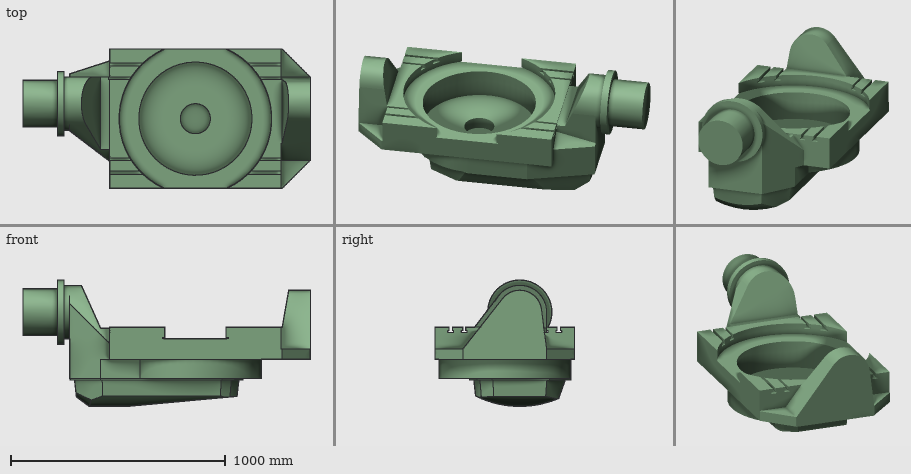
import cadquery as cq
import math


TOTAL_LENGTH = 1341.2
TOTAL_HEIGHT = 589.6
LONG = 2000

TABLE_LENGTH = 800
TABLE_WIDTH = 650
TABLE_TOP = 150
TABLE_END = TABLE_LENGTH / 2
TABLE_SIDE = TABLE_WIDTH / 2
RECESS_DIAMETER = 709
RECESS_FLOOR = 97
UNDERCUT_DIAMETER = 713
UNDERCUT_HEIGHT = 4

SLOT_DEPTH = 25
SLOT_FOOT_HEIGHT = 9
SLOT_OVERRUN = 4
OUTER_SLOT_OFFSET = 252
OUTER_SLOT_NECK = 15
OUTER_SLOT_FOOT = 26
INNER_SLOT_OFFSET = 189
INNER_SLOT_NECK = 12.6
INNER_SLOT_FOOT = 25

AXIS_Y = 70
AXIS_Z = 220
SHAFT_RADIUS = 110
FLANGE_RADIUS = 150
HUB_RADIUS = 125
SHAFT_END = -804
FLANGE_START = -643
FLANGE_END = -612

BRACKET_END = -586
BRACKET_SIDE = -199
BRACKET_SHOULDER = 73
BRACKET_LEDGE = 145
SLOPE_TOP_X = -531
SLOPE_FOOT_X = -441
WEDGE_EDGE_Z = 58
WEDGE_RISE = 0.742

BASE_DEPTH = 90
PLATE_BOTTOM = -97
BOSS_RADIUS = 307.5
BASE_SIDE = -167
BASE_NEAR_CORNER_Y = -57
BASE_FAR_CORNER_Y = 209
FAR_WALL_SLOPE = 0.323
NEAR_WALL_SLOPE = (BASE_SIDE - BASE_NEAR_CORNER_Y) / (SLOPE_FOOT_X - BRACKET_END)
FAR_WALL_END = BRACKET_END + (BOSS_RADIUS - BASE_FAR_CORNER_Y) / FAR_WALL_SLOPE
PLATE_SETBACK = 2.5
PLATE_END = 223
PLATE_CORNER = [(125, BASE_SIDE + PLATE_SETBACK), (182, -130), (PLATE_END, -60)]
FAR_CORNER_X = 0

SUMP_INSET = 20
SUMP_DRAFT = 6.5
SUMP_FAR_TOP_Y = 282
SUMP_FAR_DRAFT = 19.5
BELLY_RADIUS = 457
BELLY_Z = AXIS_Z + FLANGE_RADIUS - TOTAL_HEIGHT
BELLY_NOSE_X = -553
BELLY_NOSE_Z = -176
BELLY_FLAT_START = -495
BELLY_FLAT_END = -315
BELLY_TAIL_X = 132
BELLY_TAIL_Z = -178.5

BORE_DIAMETER = 527.8
BORE_FLOOR = -35
CENTRE_HOLE_DIAMETER = 140
CENTRE_HOLE_FLOOR = -BASE_DEPTH

ARM_END = SHAFT_END + TOTAL_LENGTH
ARM_RADIUS = 102
ARM_HALF_WIDTH = 195
ARM_SHOULDER = 48
ARM_TOP_X = 434.5
ARM_FOOT_X = TABLE_END + SLOT_OVERRUN


def cylinder_x(radius, x_start, x_end):
    """Cylinder on the trunnion axis."""
    section = cq.Workplane("YZ", origin=(x_start, AXIS_Y, AXIS_Z)).circle(radius)
    return section.extrude(x_end - x_start)


def cylinder_z(radius, z_bottom, z_top):
    """Cylinder on the table axis."""
    return cq.Workplane("XY").workplane(offset=z_bottom).circle(radius).extrude(z_top - z_bottom)


def prism_z(points, z_bottom, z_top):
    """Prism along Z from (x, y) points."""
    outline = cq.Workplane("XY").workplane(offset=z_bottom).polyline(points).close()
    return outline.extrude(z_top - z_bottom)


def prism_x(points, x_start, x_end):
    """Prism along X from (y, z) points."""
    outline = cq.Workplane("YZ").workplane(offset=x_start).polyline(points).close()
    return outline.extrude(x_end - x_start)


def prism_y(points):
    """Prism along Y from (x, z) points, passing through the whole part."""
    return cq.Workplane("XZ").polyline(points).close().extrude(LONG / 2, both=True)


def tangent_point(radius, y, z, side):
    """Point where a line from (y, z) touches a circle on the trunnion axis; side is +1 or -1."""
    dy = y - AXIS_Y
    dz = z - AXIS_Z
    angle = math.atan2(dz, dy) + side * math.acos(radius / math.hypot(dy, dz))
    return (AXIS_Y + radius * math.cos(angle), AXIS_Z + radius * math.sin(angle))


def t_slot(centre_y, neck, foot):
    """T-slot cutter along X, open at the table top."""
    floor = TABLE_TOP - SLOT_DEPTH
    foot_top = floor + SLOT_FOOT_HEIGHT
    half = [(neck / 2, TABLE_TOP), (neck / 2, foot_top), (foot / 2, foot_top), (foot / 2, floor)]
    right = [(centre_y + y, z) for y, z in half]
    left = [(centre_y - y, z) for y, z in reversed(half)]
    half_length = TABLE_END + SLOT_OVERRUN
    return prism_x(right + left, -half_length, half_length)


def table():
    """Table slab with the round recess and its undercut foot."""
    slab = cq.Workplane("XY").box(TABLE_LENGTH, TABLE_WIDTH, TABLE_TOP, centered=(True, True, False))
    recess = cylinder_z(RECESS_DIAMETER / 2, RECESS_FLOOR, TABLE_TOP)
    undercut = cylinder_z(UNDERCUT_DIAMETER / 2, RECESS_FLOOR, RECESS_FLOOR + UNDERCUT_HEIGHT)
    return slab.cut(recess).cut(undercut)


def far_wall_y(x):
    return BASE_FAR_CORNER_Y + FAR_WALL_SLOPE * (x - BRACKET_END)


def near_wall_y(x):
    return BASE_NEAR_CORNER_Y + NEAR_WALL_SLOPE * (x - BRACKET_END)


BASE_OUTLINE = [
    (BRACKET_END, BASE_NEAR_CORNER_Y),
    (SLOPE_FOOT_X, BASE_SIDE),
    (0, BASE_SIDE),
    (0, BOSS_RADIUS),
    (FAR_WALL_END, BOSS_RADIUS),
    (BRACKET_END, BASE_FAR_CORNER_Y),
]

PLATE_OUTLINE = [
    (BRACKET_END + PLATE_SETBACK, BASE_NEAR_CORNER_Y),
    (SLOPE_FOOT_X, BASE_SIDE + PLATE_SETBACK),
    *PLATE_CORNER,
    (PLATE_END, BASE_FAR_CORNER_Y),
    (FAR_CORNER_X, BOSS_RADIUS),
    (FAR_WALL_END, BOSS_RADIUS),
    (BRACKET_END + PLATE_SETBACK, far_wall_y(BRACKET_END + PLATE_SETBACK)),
]


def base():
    """Round boss, the block running back to the bracket, and the plate below them."""
    boss = cylinder_z(BOSS_RADIUS, -BASE_DEPTH, 0)
    block = prism_z(BASE_OUTLINE, -BASE_DEPTH, 0)
    plate = prism_z(PLATE_OUTLINE, PLATE_BOTTOM, -BASE_DEPTH)
    return boss.union(block).union(plate)


def bracket():
    """Bracket block and hub, with the slope and ledge towards the table."""
    contact = tangent_point(HUB_RADIUS, BRACKET_SIDE, BRACKET_SHOULDER, -1)
    far_y = AXIS_Y + HUB_RADIUS
    body = (
        cq.Workplane("YZ")
        .workplane(offset=BRACKET_END)
        .moveTo(far_y, 0)
        .lineTo(far_y, AXIS_Z)
        .threePointArc((AXIS_Y, AXIS_Z + HUB_RADIUS), contact)
        .lineTo(BRACKET_SIDE, BRACKET_SHOULDER)
        .lineTo(BRACKET_SIDE, 0)
        .close()
        .extrude(-TABLE_END - BRACKET_END)
    )
    plan = prism_z(
        [
            (BRACKET_END, BASE_NEAR_CORNER_Y),
            (-TABLE_END, near_wall_y(-TABLE_END)),
            (-TABLE_END, far_y),
            (BRACKET_END, far_y),
        ],
        0,
        AXIS_Z + FLANGE_RADIUS,
    )
    hub = cylinder_x(HUB_RADIUS, FLANGE_END, -TABLE_END)
    relief = prism_y(
        [
            (SLOPE_TOP_X, AXIS_Z + HUB_RADIUS),
            (SLOPE_FOOT_X, BRACKET_LEDGE),
            (-TABLE_END, BRACKET_LEDGE),
            (-TABLE_END, AXIS_Z + HUB_RADIUS),
        ]
    )
    return body.intersect(plan).union(hub).cut(relief)


def side_wedge():
    """Web beside the bracket whose sloped top rises inward from the oblique far wall."""
    length = -TABLE_END - BRACKET_END
    far_y = AXIS_Y + HUB_RADIUS
    footprint = prism_z(
        [
            (BRACKET_END, far_y),
            (-TABLE_END, far_y),
            (-TABLE_END, far_wall_y(-TABLE_END)),
            (BRACKET_END, BASE_FAR_CORNER_Y),
        ],
        0,
        TABLE_TOP,
    )
    wall = cq.Plane(
        origin=(BRACKET_END, BASE_FAR_CORNER_Y, 0),
        xDir=(FAR_WALL_SLOPE, -1, 0),
        normal=(-1, -FAR_WALL_SLOPE, 0),
    )
    profile = [
        (0, 0),
        (0, WEDGE_EDGE_Z),
        (length, WEDGE_EDGE_Z + WEDGE_RISE * length),
        (length, 0),
    ]
    under_slope = cq.Workplane(wall).polyline(profile).close().extrude(LONG / 2, both=True)
    return footprint.intersect(under_slope)


def trunnion():
    """Shaft and flange at the -X end."""
    shaft = cylinder_x(SHAFT_RADIUS, SHAFT_END, FLANGE_START)
    return shaft.union(cylinder_x(FLANGE_RADIUS, FLANGE_START, FLANGE_END))


def sump_shell():
    """Drafted walls of the sump, down to its lowest level, with more draft on the far side."""
    depth = BELLY_Z - PLATE_BOTTOM
    shell = (
        cq.Workplane("XY")
        .workplane(offset=PLATE_BOTTOM)
        .polyline(PLATE_OUTLINE)
        .close()
        .offset2D(-SUMP_INSET, "intersection")
        .extrude(depth, taper=SUMP_DRAFT)
    )
    far_bottom_y = SUMP_FAR_TOP_Y + depth * math.tan(math.radians(SUMP_FAR_DRAFT))
    far_cut = prism_x(
        [
            (SUMP_FAR_TOP_Y, PLATE_BOTTOM),
            (far_bottom_y, BELLY_Z),
            (TABLE_SIDE, BELLY_Z),
            (TABLE_SIDE, PLATE_BOTTOM),
        ],
        BRACKET_END,
        TABLE_END,
    )
    return shell.cut(far_cut)


def belly_barrel():
    """Long cylinder whose lowest line is the lowest line of the sump."""
    centre_z = BELLY_Z + BELLY_RADIUS
    section = cq.Workplane("YZ", origin=(0, AXIS_Y, centre_z)).circle(BELLY_RADIUS)
    return section.extrude(LONG / 2, both=True)


def nose_barrel():
    """The same cylinder tilted to rise towards the -X end of the sump."""
    run = BELLY_FLAT_START - BELLY_NOSE_X
    rise = BELLY_NOSE_Z - BELLY_Z
    across = cq.Plane(
        origin=(BELLY_FLAT_START, AXIS_Y, BELLY_Z),
        xDir=(0, 1, 0),
        normal=(-run, 0, rise),
    )
    section = cq.Workplane(across).center(0, -BELLY_RADIUS).circle(BELLY_RADIUS)
    return section.extrude(LONG / 2, both=True)


def tail_cut():
    """Flat underside that rises towards the +X end of the sump."""
    slope = (BELLY_TAIL_Z - BELLY_Z) / (BELLY_TAIL_X - BELLY_FLAT_END)
    return prism_y(
        [
            (BELLY_FLAT_END, BELLY_Z),
            (TABLE_END, BELLY_Z + slope * (TABLE_END - BELLY_FLAT_END)),
            (TABLE_END, BELLY_Z),
        ]
    )


def sump():
    """Sump with a rounded belly, a raised nose and a rising tail."""
    return sump_shell().intersect(belly_barrel()).intersect(nose_barrel()).cut(tail_cut())


def arm():
    """Round-topped upright at the +X end with a low wing on each side."""
    near = tangent_point(ARM_RADIUS, -ARM_HALF_WIDTH, ARM_SHOULDER, -1)
    far = tangent_point(ARM_RADIUS, ARM_HALF_WIDTH, ARM_SHOULDER, 1)
    top = AXIS_Z + ARM_RADIUS
    body = (
        cq.Workplane("YZ")
        .workplane(offset=TABLE_END)
        .moveTo(-ARM_HALF_WIDTH, 0)
        .lineTo(-ARM_HALF_WIDTH, ARM_SHOULDER)
        .lineTo(*near)
        .threePointArc((AXIS_Y, top), far)
        .lineTo(ARM_HALF_WIDTH, ARM_SHOULDER)
        .lineTo(ARM_HALF_WIDTH, 0)
        .close()
        .extrude(ARM_END - TABLE_END)
    )
    relief = prism_y(
        [
            (TABLE_END, TABLE_TOP),
            (ARM_FOOT_X, TABLE_TOP),
            (ARM_TOP_X, top),
            (TABLE_END, top),
        ]
    )
    wing_end = ARM_FOOT_X + TABLE_SIDE - ARM_HALF_WIDTH
    wings = prism_z(
        [
            (TABLE_END, -TABLE_SIDE),
            (ARM_FOOT_X, -TABLE_SIDE),
            (wing_end, -ARM_HALF_WIDTH),
            (wing_end, ARM_HALF_WIDTH),
            (ARM_FOOT_X, TABLE_SIDE),
            (TABLE_END, TABLE_SIDE),
        ],
        0,
        ARM_SHOULDER,
    )
    return body.cut(relief).union(wings)


def bores():
    """Cutter for the main bore and the smaller hole in its floor."""
    bore = cylinder_z(BORE_DIAMETER / 2, BORE_FLOOR, TABLE_TOP)
    hole = cylinder_z(CENTRE_HOLE_DIAMETER / 2, CENTRE_HOLE_FLOOR, TABLE_TOP)
    return bore.union(hole)


result = table()
for feature in (base, bracket, side_wedge, trunnion, sump, arm):
    result = result.union(feature())
for side in (1, -1):
    result = result.cut(t_slot(side * OUTER_SLOT_OFFSET, OUTER_SLOT_NECK, OUTER_SLOT_FOOT))
    result = result.cut(t_slot(side * INNER_SLOT_OFFSET, INNER_SLOT_NECK, INNER_SLOT_FOOT))
result = result.cut(bores())